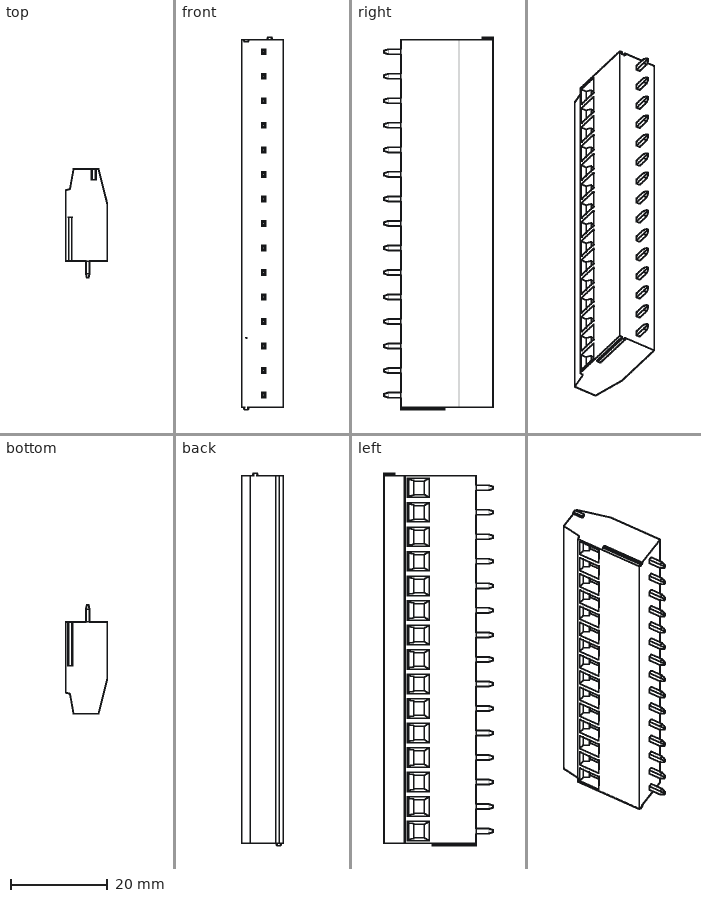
import cadquery as cq


pole_count = 15
pitch = 5.08
housing_length = pole_count * pitch
housing_width = 8.6
housing_height = 19.1
ledge_height = 14.72
ledge_rise = 0.2
ledge_width = 0.85
top_left = 1.6
top_right = 6.8
shoulder_height = 11.95

pin_x = 4.55
pin_length = 3.5
pin_thickness = 0.8
pin_width = 1.1
pin_tip_length = 0.9
pin_tip_inset_x = 0.2
pin_tip_inset_z = 0.3

entry_bottom = 9.7
entry_top = 14.3
entry_height = 4.0
entry_end_height = 2.8
entry_depth = 2.0
entry_step_depth = 1.0
entry_step_rise = 0.5
entry_wall_draft = 0.3
entry_floor_bottom = 10.75
entry_floor_top = 12.9

rail_height = 0.5
rail_head_width = 1.0
rail_head_height = 0.3
rail_neck_width = 0.65
long_rail_x = 0.92
long_rail_length = 9.1
short_rail_x = 5.8
short_rail_length = 2.2
overlap = 0.2


def pole_z(index):
    return (index + 0.5) * pitch


def make_housing():
    outline = [
        (0, 0),
        (housing_width, 0),
        (housing_width, shoulder_height),
        (top_right, housing_height),
        (top_left, housing_height),
        (ledge_width, ledge_height + ledge_rise),
        (0, ledge_height),
    ]
    return cq.Workplane("XY").polyline(outline).close().extrude(housing_length)


def make_pin(z):
    shank_length = pin_length - pin_tip_length
    shank = cq.Workplane("XY").box(
        pin_thickness, shank_length + overlap, pin_width, centered=(True, False, True)
    ).translate((pin_x, -shank_length, z))
    tip = (
        cq.Workplane("XZ", origin=(pin_x, -shank_length, z))
        .rect(pin_thickness, pin_width)
        .workplane(offset=pin_tip_length)
        .rect(pin_thickness - 2 * pin_tip_inset_x, pin_width - 2 * pin_tip_inset_z)
        .loft()
    )
    return shank.union(tip)


def make_entry(z):
    """Stepped entry section, narrowed along Z towards its floor."""
    section = [
        (0, entry_bottom),
        (entry_depth, entry_floor_bottom),
        (entry_depth, entry_floor_top),
        (entry_step_depth + entry_step_rise, entry_floor_top),
        (entry_step_depth, entry_top - entry_wall_draft),
        (0, entry_top),
    ]
    side_taper = [
        (0, z - entry_height / 2),
        (entry_depth, z - entry_end_height / 2),
        (entry_depth, z + entry_end_height / 2),
        (0, z + entry_height / 2),
    ]
    prism = cq.Workplane("XY").polyline(section).close().extrude(housing_length)
    taper = cq.Workplane("XZ").polyline(side_taper).close().extrude(-housing_height)
    return prism.intersect(taper)


def make_rail(x, start_y, length, neck_z, direction):
    """Bar along Y with a bevelled head, rising from neck_z towards +Z (direction 1) or -Z (direction -1)."""
    neck = rail_neck_width / 2
    head = rail_head_width / 2
    root_z = neck_z - direction * overlap
    widest_z = neck_z + direction * rail_head_height
    crown_z = neck_z + direction * rail_height
    outline = [
        (x - neck, root_z),
        (x - neck, neck_z),
        (x - head, widest_z),
        (x - neck, crown_z),
        (x + neck, crown_z),
        (x + head, widest_z),
        (x + neck, neck_z),
        (x + neck, root_z),
    ]
    return cq.Workplane("XZ", origin=(0, start_y, 0)).polyline(outline).close().extrude(-length)


result = make_housing()
for pole in range(pole_count):
    result = result.cut(make_entry(pole_z(pole))).union(make_pin(pole_z(pole)))

short_rail_start = housing_height - short_rail_length
short_rail = make_rail(short_rail_x, short_rail_start, short_rail_length, housing_length, 1)
long_rail = make_rail(long_rail_x, 0, long_rail_length, 0, -1)
long_groove = make_rail(long_rail_x, 0, long_rail_length, housing_length, -1)
result = result.cut(long_groove).union(long_rail).union(short_rail)